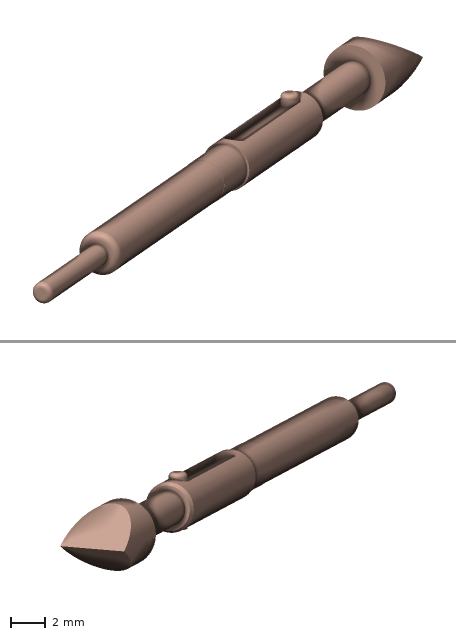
import cadquery as cq
import math


head_end = 5.0
sleeve_start = 12.0
sleeve_end = 22.0
neck_end = 25.0
barrel_end = 39.0
tail_end = 46.5

head_diameter = 4.0
rod_diameter = 2.1
sleeve_diameter = 3.0
neck_diameter = 2.7
barrel_diameter = 2.66
tail_diameter = 1.3

sleeve_chamfer_length = 0.25
sleeve_chamfer_depth = 0.15
barrel_fillet = 0.4
tail_fillet = 0.3

chisel_angle = 60.0

slot_width = 1.3
slot_front = 12.95
slot_back = 21.5
pin_diameter = 1.1
pin_station = 13.55
pin_bottom = -sleeve_diameter / 2
pin_top = 1.85
pin_fillet = 0.25


def cylinder(diameter, start, end):
    """Round bar on the probe axis between two stations."""
    bar = cq.Workplane("XZ", origin=(0, -start, 0)).circle(diameter / 2)
    return bar.extrude(end - start)


def chisel_head():
    """Round head cut to a wedge by two flats that meet in an edge along X."""
    radius = head_diameter / 2
    flat_length = radius / math.tan(math.radians(chisel_angle / 2))
    wedge = (
        cq.Workplane("YZ", origin=(-radius, 0, 0))
        .polyline([
            (0, 0),
            (-flat_length, radius),
            (-head_end, radius),
            (-head_end, -radius),
            (-flat_length, -radius),
        ])
        .close()
        .extrude(head_diameter)
    )
    return cylinder(head_diameter, 0, head_end).intersect(wedge)


def slotted_sleeve():
    """Sleeve with a chamfered front rim and a round-ended slot down to the rod."""
    radius = sleeve_diameter / 2
    sleeve = (
        cq.Workplane("XY")
        .polyline([
            (0, -sleeve_start),
            (radius - sleeve_chamfer_depth, -sleeve_start),
            (radius, -sleeve_start - sleeve_chamfer_length),
            (radius, -sleeve_end),
            (0, -sleeve_end),
        ])
        .close()
        .revolve(360, (0, 0, 0), (0, 1, 0))
    )
    slot = (
        cq.Workplane("XY", origin=(0, -(slot_front + slot_back) / 2, 0))
        .slot2D(slot_back - slot_front, slot_width, 90)
        .extrude(sleeve_diameter)
    )
    return sleeve.cut(slot)


def guide_pin():
    """Cross pin, flush below the sleeve and standing proud of the slot."""
    pin = cq.Workplane("XY", origin=(0, -pin_station, pin_bottom)).circle(pin_diameter / 2)
    return pin.extrude(pin_top - pin_bottom).faces(">Z").edges().fillet(pin_fillet)


rod = cylinder(rod_diameter, head_end, sleeve_end)
neck = cylinder(neck_diameter, sleeve_end, neck_end)
barrel = cylinder(barrel_diameter, neck_end, barrel_end).faces("<Y").edges().fillet(barrel_fillet)
tail = cylinder(tail_diameter, barrel_end, tail_end).faces("<Y").edges().fillet(tail_fillet)

result = chisel_head()
for section in (rod, slotted_sleeve(), guide_pin(), neck, barrel, tail):
    result = result.union(section)